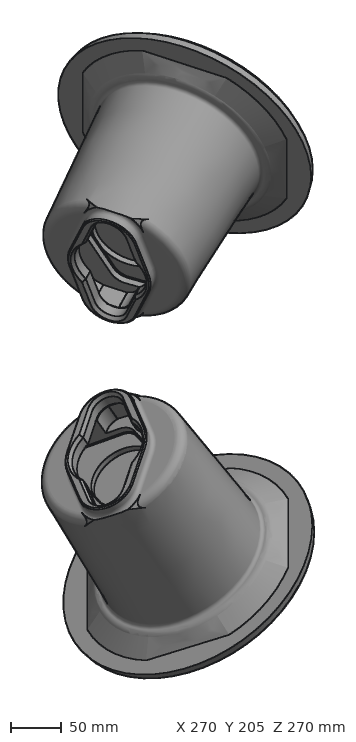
import cadquery as cq
import math

TOTAL_DEPTH = 205.0

FLANGE_RADIUS = 135.0
FLANGE_SHOULDER_RADIUS = 133.0
FLANGE_BACK_RADIUS = 127.2
FLANGE_CHAMFER_DEPTH = 5.7
FLANGE_THICKNESS = 14.8

COLLAR_HALF_WIDTH = 108.8
COLLAR_SIDES = 8
COLLAR_SIDE_ANGLE = 360 / COLLAR_SIDES
COLLAR_TOP_RADIUS = 97.5
COLLAR_TOP_DEPTH = 26.2
SHOULDER_RADIUS = 91.0
SHOULDER_DEPTH = 29.0

CUP_BASE_RADIUS = 86.7
CUP_BASE_DEPTH = 32.7
CUP_TIP_RADIUS = 78.3
CUP_END_DEPTH = 192.2
CUP_EDGE_FILLET = 9.7

NOSE_CENTRE_RADIUS = 44.3
NOSE_TIP_RADIUS = 30.2
NOSE_HALF_LENGTH = 76.5
NOSE_ROOT_DEPTH = CUP_END_DEPTH - CUP_EDGE_FILLET
NOSE_CHAMFER = 1.4
NOSE_ROOT_FILLET = 4.5
NOSE_FOOT_MARGIN = 4.9
NOSE_FOOT_SPREAD = 6.8

KEY_CENTRE_RADIUS = 38.3
KEY_SLOT_RADIUS = 33.5
KEY_TIP_RADIUS = 17.5
KEY_HALF_LENGTH = 70.7
KEY_FLARE = 2.5
KEY_FLARE_DEPTH = 4.5

LIP_THICKNESS = 15.7
LEDGE_DEPTH = 36.7
FLOOR_DEPTH = 44.8
BORE_BOTTOM_DEPTH = 51.3
CHAMBER_RADIUS = 73.0
SLOT_STEP = 1.0
STOP_DISTANCE = 56.2
STOP_TILT = 3.4
BORE_DIAMETER = 73.0
BORE_RADIUS = BORE_DIAMETER / 2
CHAMBER_HEIGHT = LEDGE_DEPTH - LIP_THICKNESS
POCKET_SLANT_ANGLE = 27.9
POCKET_CORNER_RADIUS = 17.3
EDGE_CHAMFER = 1.0


def plane_at(depth):
    """Work plane facing the nose, at a depth from the flange back."""
    return cq.Workplane("XZ").workplane(offset=depth)


def nose_face(depth):
    """Work plane facing out of the nose, at a depth behind its front face."""
    return plane_at(TOTAL_DEPTH - depth)


def make_flange():
    profile = [
        (0, 0),
        (FLANGE_BACK_RADIUS, 0),
        (FLANGE_SHOULDER_RADIUS, -FLANGE_CHAMFER_DEPTH),
        (FLANGE_RADIUS, -FLANGE_THICKNESS),
        (0, -FLANGE_THICKNESS),
    ]
    return cq.Workplane("XY").polyline(profile).close().revolve(360, (0, 0), (0, 1))


def polar(radius, degrees):
    angle = math.radians(degrees)
    return (radius * math.cos(angle), radius * math.sin(angle))


def collar_outline(depth, radius, has_flats):
    """Closed outline through the collar corners; every other side is flat if asked, the rest are arcs."""
    half_side = COLLAR_SIDE_ANGLE / 2
    outline = plane_at(depth).moveTo(*polar(radius, -half_side))
    for side in range(COLLAR_SIDES):
        middle = side * COLLAR_SIDE_ANGLE
        end = polar(radius, middle + half_side)
        if has_flats and side % 2 == 0:
            outline = outline.lineTo(*end)
        else:
            outline = outline.threePointArc(polar(radius, middle), end)
    return outline.close().val()


def make_collar():
    corner_radius = COLLAR_HALF_WIDTH / math.cos(math.radians(COLLAR_SIDE_ANGLE / 2))
    base = collar_outline(FLANGE_THICKNESS, corner_radius, True)
    top = collar_outline(COLLAR_TOP_DEPTH, COLLAR_TOP_RADIUS, False)
    return cq.Workplane(cq.Solid.makeLoft([base, top], True))


def make_turned_cup():
    """Turned cup with a sharp end: rounded collar shoulder, concave root and tapered wall."""
    root_bend = math.sqrt(0.5)
    root_mid = (
        SHOULDER_RADIUS - (SHOULDER_RADIUS - CUP_BASE_RADIUS) * root_bend,
        -CUP_BASE_DEPTH + (CUP_BASE_DEPTH - SHOULDER_DEPTH) * root_bend,
    )
    shoulder_width = COLLAR_TOP_RADIUS - SHOULDER_RADIUS
    shoulder_drop = SHOULDER_DEPTH - COLLAR_TOP_DEPTH
    bend_radius = (shoulder_width**2 + shoulder_drop**2) / (2 * shoulder_drop)
    half_bend = math.asin(shoulder_width / bend_radius) / 2
    shoulder_mid = (
        SHOULDER_RADIUS + bend_radius * math.sin(half_bend),
        -SHOULDER_DEPTH + bend_radius * (1 - math.cos(half_bend)),
    )
    return (
        cq.Workplane("XY")
        .moveTo(0, -FLANGE_THICKNESS)
        .lineTo(COLLAR_TOP_RADIUS, -FLANGE_THICKNESS)
        .lineTo(COLLAR_TOP_RADIUS, -COLLAR_TOP_DEPTH)
        .threePointArc(shoulder_mid, (SHOULDER_RADIUS, -SHOULDER_DEPTH))
        .threePointArc(root_mid, (CUP_BASE_RADIUS, -CUP_BASE_DEPTH))
        .lineTo(CUP_TIP_RADIUS, -CUP_END_DEPTH)
        .lineTo(0, -CUP_END_DEPTH)
        .close()
        .revolve(360, (0, 0), (0, 1))
    )


def diamond_outline(depth, centre_radius, tip_radius, half_length):
    """Closed outline around a centre circle and two tip circles, joined by their common tangents."""
    tip_centre = half_length - tip_radius
    tangent = math.degrees(math.asin((centre_radius - tip_radius) / tip_centre))
    side_x, side_z = polar(centre_radius, tangent)
    tip_x, tip_rise = polar(tip_radius, tangent)
    tip_z = tip_centre + tip_rise
    return (
        plane_at(depth)
        .moveTo(side_x, -side_z)
        .threePointArc((centre_radius, 0), (side_x, side_z))
        .lineTo(tip_x, tip_z)
        .threePointArc((0, half_length), (-tip_x, tip_z))
        .lineTo(-side_x, side_z)
        .threePointArc((-centre_radius, 0), (-side_x, -side_z))
        .lineTo(-tip_x, -tip_z)
        .threePointArc((0, -half_length), (tip_x, -tip_z))
        .close()
    )


def make_nose():
    outline = diamond_outline(NOSE_ROOT_DEPTH, NOSE_CENTRE_RADIUS, NOSE_TIP_RADIUS, NOSE_HALF_LENGTH)
    nose = outline.extrude(TOTAL_DEPTH - NOSE_ROOT_DEPTH)
    return nose.faces("<Y").edges().chamfer(NOSE_CHAMFER)


def foot_outline(depth, margin):
    """Wire of the nose outline widened by a margin."""
    radii = (NOSE_CENTRE_RADIUS + margin, NOSE_TIP_RADIUS + margin)
    return diamond_outline(depth, *radii, NOSE_HALF_LENGTH + margin).val()


def make_nose_on_foot():
    """Nose on a spreading foot sunk in the cup end, with a concave fillet between the two."""
    foot_base = foot_outline(NOSE_ROOT_DEPTH, NOSE_FOOT_MARGIN + NOSE_FOOT_SPREAD)
    foot_top = foot_outline(CUP_END_DEPTH, NOSE_FOOT_MARGIN)
    foot = cq.Workplane(cq.Solid.makeLoft([foot_base, foot_top], True))
    joined = foot.union(make_nose())
    foot_face = joined.faces("|Y").faces(cq.NearestToPointSelector((0, -CUP_END_DEPTH, 0))).val()
    root_edges = foot_face.innerWires()[0].Edges()
    return cq.Workplane(joined.val().fillet(NOSE_ROOT_FILLET, root_edges))


def key_slot(depth, taper=0, inset=0):
    """Diamond slot of the key opening, from a depth behind the nose face out to that face."""
    outline = diamond_outline(
        TOTAL_DEPTH - depth,
        KEY_SLOT_RADIUS - inset,
        KEY_TIP_RADIUS - inset,
        KEY_HALF_LENGTH - inset,
    )
    return outline.extrude(depth, taper=taper)


def make_key_opening():
    straight = nose_face(LIP_THICKNESS).circle(KEY_CENTRE_RADIUS).extrude(LIP_THICKNESS)
    straight = straight.union(key_slot(LIP_THICKNESS))
    flare_taper = -math.degrees(math.atan2(KEY_FLARE, KEY_FLARE_DEPTH))
    flare = nose_face(KEY_FLARE_DEPTH).circle(KEY_CENTRE_RADIUS).extrude(KEY_FLARE_DEPTH, taper=flare_taper)
    flare = flare.union(key_slot(KEY_FLARE_DEPTH, flare_taper))
    return straight.union(flare)


def tilted(body):
    """Turn a body about the cup axis by the tilt of the stop faces."""
    return body.rotate((0, 0, 0), (0, -1, 0), STOP_TILT)


def make_stop(side):
    """Block left standing beside a slot end, which limits the turn of the key."""
    size = CHAMBER_RADIUS
    centre = (side * size / 2, -side * (STOP_DISTANCE + size / 2))
    block = nose_face(LEDGE_DEPTH).center(*centre).rect(size, size).extrude(CHAMBER_HEIGHT)
    return tilted(block).cut(key_slot(LEDGE_DEPTH, inset=SLOT_STEP))


def make_chamber():
    """Round space under the lip, cut flat just short of the slot ends."""
    flat_length = 2 * (KEY_HALF_LENGTH - SLOT_STEP)
    disc = nose_face(LEDGE_DEPTH).circle(CHAMBER_RADIUS).extrude(CHAMBER_HEIGHT)
    slab = nose_face(LEDGE_DEPTH).rect(2 * CHAMBER_RADIUS, flat_length).extrude(CHAMBER_HEIGHT)
    chamber = disc.intersect(slab)
    for side in (1, -1):
        chamber = chamber.cut(make_stop(side))
    return chamber


def make_floor_pocket():
    """Lowered floor between the stops, with two slanted sides tangent to the bore."""
    slant = math.radians(POCKET_SLANT_ANGLE)
    near_x = (BORE_RADIUS - STOP_DISTANCE * math.sin(slant)) / math.cos(slant)
    far_x = (BORE_RADIUS + STOP_DISTANCE * math.sin(slant)) / math.cos(slant)
    outline = [
        (near_x, STOP_DISTANCE),
        (far_x, -STOP_DISTANCE),
        (-near_x, -STOP_DISTANCE),
        (-far_x, STOP_DISTANCE),
    ]
    height = FLOOR_DEPTH - LEDGE_DEPTH
    middle_y = FLOOR_DEPTH - height / 2 - TOTAL_DEPTH
    strip = nose_face(FLOOR_DEPTH).polyline(outline).close().extrude(height)
    for x, z in (outline[0], outline[2]):
        corner = cq.NearestToPointSelector((x, middle_y, z))
        strip = strip.edges("|Y").edges(corner).fillet(POCKET_CORNER_RADIUS)
    disc = nose_face(FLOOR_DEPTH).circle(CHAMBER_RADIUS).extrude(height)
    return tilted(strip).intersect(disc).faces(">Y").edges().chamfer(EDGE_CHAMFER)


def make_bore():
    height = BORE_BOTTOM_DEPTH - FLOOR_DEPTH
    return nose_face(BORE_BOTTOM_DEPTH).circle(BORE_RADIUS).extrude(height)


def trim_to_wall(body):
    """Keep only the part of a body inside the tapered cup wall, extended to the nose face."""
    slope = (CUP_BASE_RADIUS - CUP_TIP_RADIUS) / (CUP_END_DEPTH - CUP_BASE_DEPTH)
    nose_end_radius = CUP_TIP_RADIUS - slope * (TOTAL_DEPTH - CUP_END_DEPTH)
    cone = cq.Solid.makeCone(
        CUP_BASE_RADIUS,
        nose_end_radius,
        TOTAL_DEPTH - CUP_BASE_DEPTH,
        cq.Vector(0, -CUP_BASE_DEPTH, 0),
        cq.Vector(0, -1, 0),
    )
    return body.intersect(cq.Workplane(cone))


def make_cup():
    shell = make_turned_cup().faces("<Y").edges().fillet(CUP_EDGE_FILLET)
    cup = make_collar().union(shell).union(trim_to_wall(make_nose_on_foot()))
    return (
        cup.cut(make_key_opening())
        .cut(make_chamber())
        .cut(make_floor_pocket())
        .cut(make_bore())
    )


flange = make_flange()
cup = make_cup()

result = cq.Compound.makeCompound([flange.val(), cup.val()])